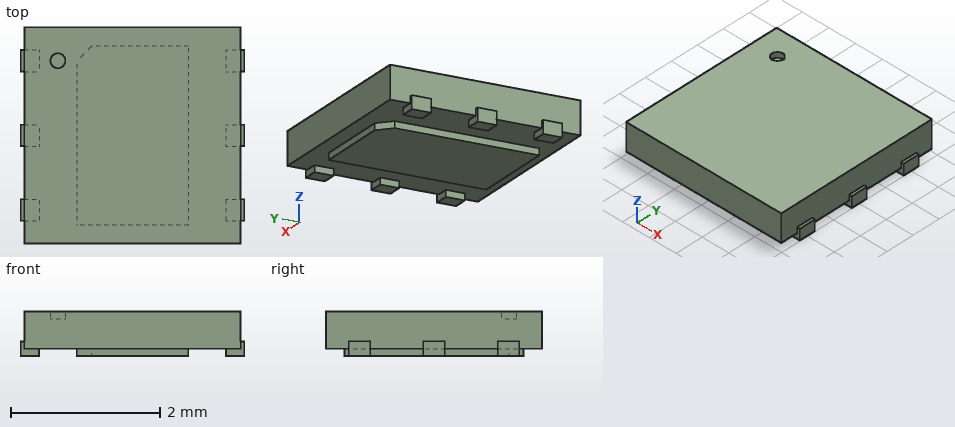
import cadquery as cq

body_side = 2.9
body_height = 0.5
standoff = 0.1
body_top = standoff + body_height

terminal_span = 3.0
terminal_length = 0.25
terminal_width = 0.29
terminal_height = 0.2
terminal_pitch = 1.0
terminals_per_side = 3

pad_length_x = 1.5
pad_width_y = 2.4
pad_corner_chamfer = 0.2

dimple_diameter = 0.2
dimple_depth = 0.1
dimple_x = -1.0
dimple_y = 1.0


def block(length, width, bottom, top, x=0, y=0):
    """Box centred on (x, y), reaching from bottom to top along Z."""
    return (
        cq.Workplane("XY", origin=(x, y, bottom))
        .rect(length, width)
        .extrude(top - bottom)
    )


def make_body():
    """Square body with the pin-one dimple sunk into its top face."""
    dimple = (
        cq.Workplane("XY", origin=(dimple_x, dimple_y, body_top - dimple_depth))
        .circle(dimple_diameter / 2)
        .extrude(dimple_depth)
    )
    return block(body_side, body_side, standoff, body_top).cut(dimple)


def make_terminal(side, row):
    """Terminal on the given X side (-1 or +1), rows counted from -Y."""
    x = side * (terminal_span - terminal_length) / 2
    y = (row - (terminals_per_side - 1) / 2) * terminal_pitch
    return block(terminal_length, terminal_width, 0, terminal_height, x, y)


def make_exposed_pad():
    """Flat pad with its pin-one corner (-X, +Y) cut at 45 degrees."""
    pad = block(pad_length_x, pad_width_y, 0, standoff)
    return pad.edges("|Z").edges("<X and >Y").chamfer(pad_corner_chamfer)


result = make_body().union(make_exposed_pad())
for side in (-1, 1):
    for row in range(terminals_per_side):
        result = result.union(make_terminal(side, row))